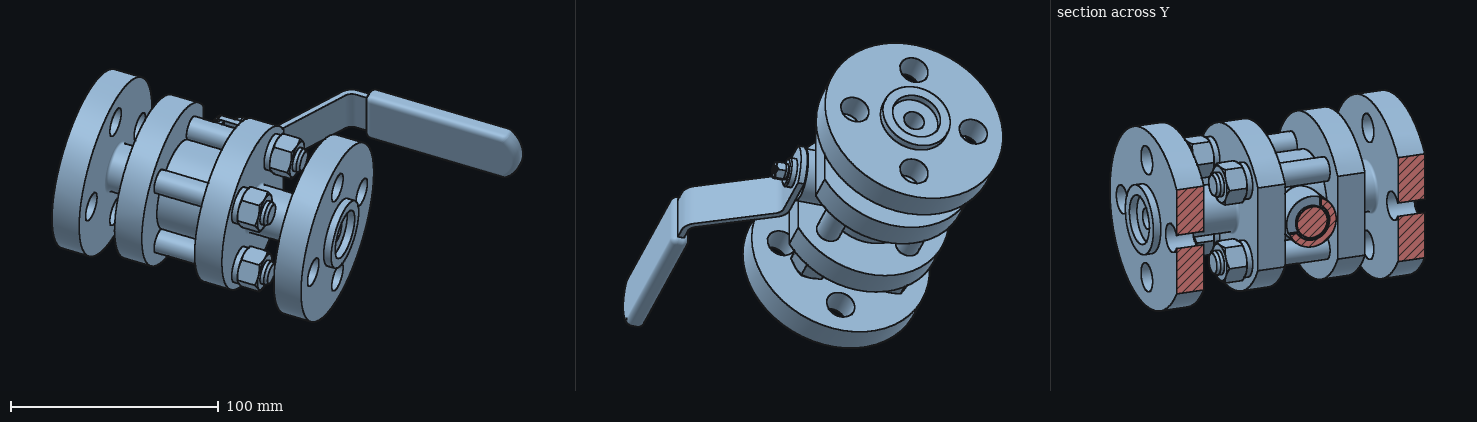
import cadquery as cq
import math


end_flange_dia = 90.0
end_flange_thick = 14.3
raised_face_dia = 34.0
raised_face_height = 4.0
recess_dia = 24.0
recess_depth = 4.0
flange_hole_dia = 14.0
flange_hole_circle_radius = 30.0

bore_dia = 10.2
pipe_dia = 24.0
pipe_fillet = 1.4
left_pipe_length = 16.8
right_pipe_length = 28.7
body_flange_dia = 82.1
body_flange_thick = 14.3
body_flat_height = 35.2
body_length = 27.5
body_dia = 45.0

bolt_dia = 12.0
bolt_offset = 20.0
bolt_end_chamfer = 1.0
bolt_end_taper = 1.5
bolt_stub_length = 3.5
washer_dia = 18.0
washer_thick = 3.0
nut_across_flats = 18.0
nut_thick = 10.5
nut_chamfer_height = 0.8

housing_dia = 25.5
housing_step_y = 34.6
housing_bore_dia = 18.0
housing_cut_offset = 4.5
stem_dia = 10.0
stem_shoulder_dia = 16.0
stem_shoulder_height = 1.5
lever_clearance = 0.5

lever_thick = 3.1
lever_width = 22.0
lever_low_y = 40.7
lever_high_y = 82.1
lever_low_bend = 18.8
lever_slope = math.radians(60)
lever_bend_radius = 4.9
lever_tip_reach = 12.7
lever_tip_shoulder = 7.8

grip_start_x = 115.3
grip_end_x = 195.5
grip_width = 28.0
grip_thick = 9.0
grip_fillet = 3.1
grip_tip_length = 7.0
grip_corner_radius = 3.3

collar_dia = 14.0
collar_height = 3.5
collar_chamfer = 0.8
stem_nut_neck_dia = 7.8
stem_nut_neck_height = 1.2
stem_nut_across_flats = 7.8
stem_nut_height = 4.7
stem_tip_dia = 3.7
stem_tip_height = 0.8

left_flange_x = raised_face_height
left_pipe_x = left_flange_x + end_flange_thick
left_body_flange_x = left_pipe_x + left_pipe_length
body_x = left_body_flange_x + body_flange_thick
right_body_flange_x = body_x + body_length
right_pipe_x = right_body_flange_x + body_flange_thick
right_flange_x = right_pipe_x + right_pipe_length
right_raised_face_x = right_flange_x + end_flange_thick
right_face_x = right_raised_face_x + raised_face_height
stem_x = body_x + body_length / 2

lever_bottom_y = lever_low_y - lever_thick / 2
lever_top_y = lever_low_y + lever_thick / 2


def bar_x(dia, x, length, y=0, z=0):
    """Cylinder along +X starting at (x, y, z)."""
    return cq.Workplane("YZ", origin=(x, y, z)).circle(dia / 2).extrude(length)


def bar_y(dia, y, height):
    """Cylinder along +Y on the stem axis, starting at level y."""
    return cq.Workplane("XZ", origin=(stem_x, y, 0)).circle(dia / 2).extrude(-height)


def end_flange(x, raised_face_x, recess_x):
    """Drilled flange at x with its raised sealing face and the recess in it."""
    flange = bar_x(end_flange_dia, x, end_flange_thick)
    for turn in range(4):
        angle = math.radians(90 * turn)
        hole_y = flange_hole_circle_radius * math.cos(angle)
        hole_z = flange_hole_circle_radius * math.sin(angle)
        flange = flange.cut(bar_x(flange_hole_dia, x, end_flange_thick, hole_y, hole_z))
    flange = flange.union(bar_x(raised_face_dia, raised_face_x, raised_face_height))
    return flange.cut(bar_x(recess_dia, recess_x, recess_depth))


def pipe(x, length):
    """Pipe flaring with a concave fillet at both ends."""
    root = pipe_dia / 2
    flare = root + pipe_fillet
    profile = (
        cq.Workplane("XY")
        .moveTo(x, 0)
        .lineTo(x, flare)
        .radiusArc((x + pipe_fillet, root), -pipe_fillet)
        .lineTo(x + length - pipe_fillet, root)
        .radiusArc((x + length, flare), -pipe_fillet)
        .lineTo(x + length, 0)
        .close()
    )
    return profile.revolve(360, (0, 0, 0), (1, 0, 0))


def body_flange(x):
    """Round flange with its top cut flat."""
    disc = bar_x(body_flange_dia, x, body_flange_thick)
    top = cq.Workplane("XY").box(
        body_flange_thick, body_flange_dia, body_flange_dia, centered=(False, False, True)
    )
    return disc.cut(top.translate((x, body_flat_height, 0)))


def hexagon(plane, across_flats, height, turned_ends):
    """Hexagonal prism on a workplane, its corners turned down to the flats at the given end faces."""
    across_corners = across_flats / math.cos(math.pi / 6)
    corner_depth = (across_corners - across_flats) / 2
    turned = plane.circle(across_corners / 2).extrude(height)
    for end in turned_ends:
        turned = turned.faces(end).chamfer(nut_chamfer_height, corner_depth)
    return plane.polygon(6, across_corners).extrude(height).intersect(turned)


def bolt(y, z):
    """Stud through both body flanges, with washer and nut on the right."""
    washer_x = right_pipe_x
    nut_x = washer_x + washer_thick
    bolt_end_x = nut_x + nut_thick + bolt_stub_length
    shank = bar_x(bolt_dia, left_body_flange_x, bolt_end_x - left_body_flange_x, y, z)
    shank = shank.faces(">X").chamfer(bolt_end_taper, bolt_end_chamfer)
    washer = bar_x(washer_dia, washer_x, washer_thick, y, z)
    nut_plane = cq.Workplane("YZ", origin=(nut_x, y, z))
    nut = hexagon(nut_plane, nut_across_flats, nut_thick, ("<X", ">X"))
    return shank.union(washer).union(nut)


def stem_housing():
    """Round neck whose top is a ring with one corner cut away, around the stem."""
    housing_top_y = lever_bottom_y - lever_clearance
    ring_height = housing_top_y - housing_step_y
    housing = bar_y(housing_dia, 0, housing_top_y)
    housing = housing.cut(bar_y(housing_bore_dia, housing_step_y, ring_height))
    corner = cq.Workplane("XY").box(housing_dia, ring_height, housing_dia, centered=False)
    corner = corner.translate((stem_x - housing_cut_offset, housing_step_y, -housing_cut_offset))
    stem = bar_y(stem_dia, 0, lever_bottom_y)
    shoulder = bar_y(stem_shoulder_dia, housing_step_y, stem_shoulder_height)
    return housing.cut(corner).union(stem).union(shoulder)


def lever():
    """Flat bar cranked upwards, rounded at the stem end."""
    low_bend_x = stem_x + lever_low_bend
    high_bend_x = low_bend_x + (lever_high_y - lever_low_y) / math.tan(lever_slope)
    half = lever_thick / 2
    shift = half * math.tan(lever_slope / 2)
    tip_x = stem_x - lever_tip_reach
    inner_end_x = grip_start_x + grip_fillet
    strip = (
        cq.Workplane("XY")
        .moveTo(tip_x, lever_low_y - half)
        .lineTo(low_bend_x + shift, lever_low_y - half)
        .lineTo(high_bend_x + shift, lever_high_y - half)
        .lineTo(inner_end_x, lever_high_y - half)
        .lineTo(inner_end_x, lever_high_y + half)
        .lineTo(high_bend_x - shift, lever_high_y + half)
        .lineTo(low_bend_x - shift, lever_low_y + half)
        .lineTo(tip_x, lever_low_y + half)
        .close()
        .extrude(lever_width / 2, both=True)
    )
    bends = ((low_bend_x, lever_low_y, 1), (high_bend_x, lever_high_y, -1))
    for bend_x, bend_y, side in bends:
        outer = (bend_x + side * shift, bend_y - side * half, 0)
        inner = (bend_x - side * shift, bend_y + side * half, 0)
        strip = strip.edges(cq.NearestToPointSelector(outer)).fillet(lever_bend_radius + lever_thick)
        strip = strip.edges(cq.NearestToPointSelector(inner)).fillet(lever_bend_radius)
    outline = (
        cq.Workplane("XZ")
        .moveTo(grip_end_x, lever_width / 2)
        .lineTo(stem_x - lever_tip_shoulder, lever_width / 2)
        .threePointArc((tip_x, 0), (stem_x - lever_tip_shoulder, -lever_width / 2))
        .lineTo(grip_end_x, -lever_width / 2)
        .close()
        .extrude(-lever_high_y - lever_thick)
    )
    return strip.intersect(outline)


def grip():
    """Rounded sleeve over the end of the lever, with a bowed tip."""
    half_width = grip_width / 2
    tip_start_x = grip_end_x - grip_tip_length
    sleeve = (
        cq.Workplane("XZ", origin=(0, lever_high_y - grip_thick / 2, 0))
        .moveTo(grip_start_x, -half_width)
        .lineTo(tip_start_x, -half_width)
        .threePointArc((grip_end_x, 0), (tip_start_x, half_width))
        .lineTo(grip_start_x, half_width)
        .close()
        .extrude(-grip_thick)
    )
    tip_corners = cq.selectors.BoxSelector(
        (tip_start_x - grip_fillet, lever_high_y - grip_thick, -grip_width),
        (tip_start_x + grip_fillet, lever_high_y + grip_thick, grip_width),
    )
    sleeve = sleeve.edges("|Y").edges(tip_corners).fillet(grip_corner_radius)
    return sleeve.faces("<Y or >Y or <X").edges().fillet(grip_fillet)


def stem_nut():
    """Collar, neck, hexagon and tip stacked on top of the lever."""
    neck_y = lever_top_y + collar_height
    hex_y = neck_y + stem_nut_neck_height
    tip_y = hex_y + stem_nut_height
    collar = bar_y(collar_dia, lever_top_y, collar_height).faces(">Y").chamfer(collar_chamfer)
    hex_plane = cq.Workplane("XZ", origin=(stem_x, hex_y, 0)).transformed(rotate=(0, 0, 30))
    head = hexagon(hex_plane, stem_nut_across_flats, -stem_nut_height, (">Y",))
    neck = bar_y(stem_nut_neck_dia, neck_y, stem_nut_neck_height)
    tip = bar_y(stem_tip_dia, tip_y, stem_tip_height)
    return collar.union(neck).union(head).union(tip)


valve = bar_x(body_dia, body_x, body_length)
valve = valve.union(body_flange(left_body_flange_x)).union(body_flange(right_body_flange_x))
valve = valve.union(pipe(left_pipe_x, left_pipe_length))
valve = valve.union(pipe(right_pipe_x, right_pipe_length))
valve = valve.union(end_flange(left_flange_x, 0, 0))
valve = valve.union(end_flange(right_flange_x, right_raised_face_x, right_face_x - recess_depth))

for side_y in (-1, 1):
    for side_z in (-1, 1):
        valve = valve.union(bolt(side_y * bolt_offset, side_z * bolt_offset))

valve = valve.union(stem_housing()).union(lever()).union(grip()).union(stem_nut())
result = valve.cut(bar_x(bore_dia, 0, right_face_x))